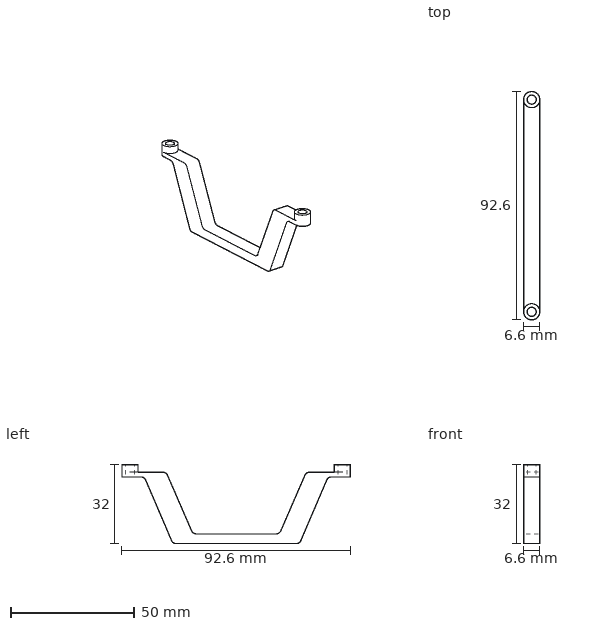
import cadquery as cq

width = 6.6
overall_length = 92.6
overall_height = 32.0

post_diameter = width
post_height = 5.0
hole_diameter = 3.6
post_offset = (overall_length - post_diameter) / 2

tab_thickness = 2.0
base_thickness = 4.0
bend_radius = 2.0

bottom_z = -overall_height / 2
base_top_z = bottom_z + base_thickness
tab_bottom_z = overall_height / 2 - post_height
tab_top_z = tab_bottom_z + tab_thickness

outer_bottom_y = 25.7
outer_top_y = 37.25
inner_bottom_y = 17.5
inner_top_y = 28.35


def make_strap():
    """Bent strap: raised end tabs, sloped legs and a flat base, with rounded bends."""
    half_outline = [
        (outer_bottom_y, bottom_z),
        (outer_top_y, tab_bottom_z),
        (post_offset, tab_bottom_z),
        (post_offset, tab_top_z),
        (inner_top_y, tab_top_z),
        (inner_bottom_y, base_top_z),
    ]
    mirrored_outline = [(-y, z) for y, z in reversed(half_outline)]
    strap = (
        cq.Workplane("YZ")
        .polyline(half_outline + mirrored_outline)
        .close()
        .extrude(width / 2, both=True)
    )
    bends = cq.selectors.BoxSelector(
        (-width, -post_offset + bend_radius, -overall_height),
        (width, post_offset - bend_radius, overall_height),
    )
    return strap.edges("|X").edges(bends).fillet(bend_radius)


def make_post_cylinders(diameter):
    """Pair of vertical cylinders of post height at the two mounting positions."""
    return (
        cq.Workplane("XY")
        .workplane(offset=tab_bottom_z)
        .pushPoints([(0, -post_offset), (0, post_offset)])
        .circle(diameter / 2)
        .extrude(post_height)
    )


posts = make_post_cylinders(post_diameter)
holes = make_post_cylinders(hole_diameter)
result = make_strap().union(posts).cut(holes)